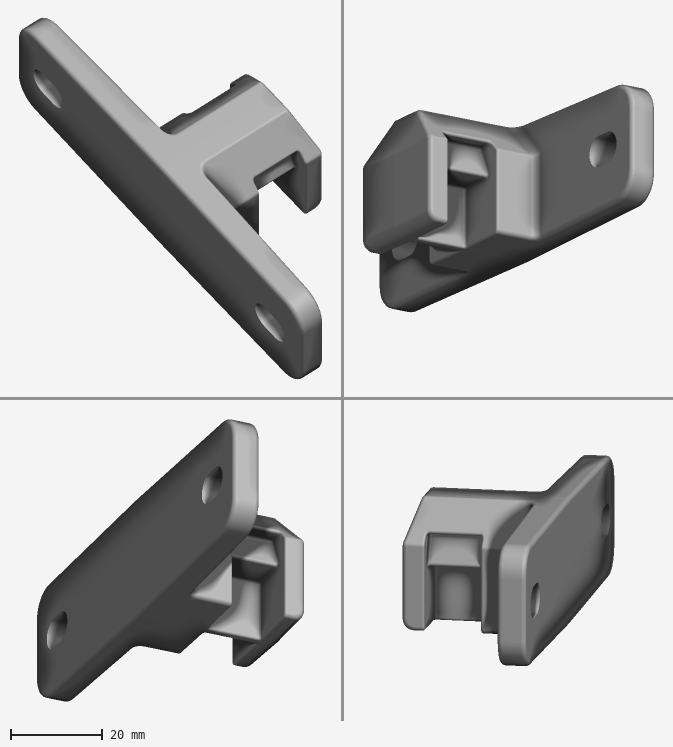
import cadquery as cq
plate_length = 101.6
crown_height = 28.5
outline_drop = 0.8
plate_thickness = 7.2
back_drop = 0.86
corner_radius = 6.4

slot_length = 10.6
slot_width = 7.1
slot_spacing = 79.5

boss_width = 27.4
boss_reach = 35.1
boss_back_drop = 0.25
boss_top_width = 9.5
shoulder_height = 5.3
nose_reach = 32.0
heel_radius = 2.5

pocket_front = 17.3
pocket_back = 29.9
pocket_ceiling = 7.2
web_thickness = 2.0
lip_height = -0.3
lip_offset = 10.3
ramp_run_per_rise = 0.45

edge_radius = 1.0
root_radius = 1.7
mouth_radius = 0.5
pocket_corner_radius = 0.6

half_length = plate_length / 2
half_height = crown_height / 2
half_boss = boss_width / 2
half_boss_top = boss_top_width / 2
half_web = web_thickness / 2
boss_side_reach = boss_reach - boss_back_drop
root_end = half_boss + root_radius
tolerance = 0.1


def crown_at(x):
    """Half height of the crowned outline at a distance x from the middle."""
    return half_height - outline_drop * x / half_length


def half_plate():
    outline = (
        cq.Workplane("XZ")
        .polyline([
            (0, half_height),
            (-half_length, crown_at(half_length)),
            (-half_length, -crown_at(half_length)),
            (0, -half_height),
        ])
        .close()
        .extrude(-plate_thickness)
        .edges("|Y and <X")
        .fillet(corner_radius)
    )
    plan = (
        cq.Workplane("XY")
        .polyline([
            (0, 0),
            (0, plate_thickness),
            (-half_length, plate_thickness - back_drop),
            (-half_length, 0),
        ])
        .close()
        .extrude(half_height, both=True)
    )
    return outline.intersect(plan)


def half_boss_body():
    across = (
        cq.Workplane("XZ")
        .polyline([
            (0, half_height),
            (-half_boss_top, crown_at(half_boss_top)),
            (-half_boss, shoulder_height),
            (-half_boss, -crown_at(half_boss)),
            (0, -half_height),
        ])
        .close()
        .extrude(-boss_reach)
    )
    plan = (
        cq.Workplane("XY")
        .polyline([
            (0, 0),
            (0, boss_reach),
            (-half_boss, boss_side_reach),
            (-half_boss, 0),
        ])
        .close()
        .extrude(half_height, both=True)
    )
    nose_run_per_rise = (boss_side_reach - nose_reach) / (half_height - shoulder_height)
    nose_foot = nose_reach + nose_run_per_rise * crown_height
    side = (
        cq.Workplane("YZ")
        .polyline([
            (0, half_height),
            (nose_reach, half_height),
            (nose_foot, -half_height),
            (0, -half_height),
        ])
        .close()
        .extrude(-half_boss)
    )
    heel = cq.selectors.NearestToPointSelector((-half_boss / 2, boss_reach, -half_height))
    return across.intersect(plan).intersect(side).edges(heel).fillet(heel_radius)


def is_root(edge):
    """Edges where the side and shoulder of the boss meet the back of the plate."""
    center = edge.Center()
    on_plate_back = plate_thickness - back_drop < center.y < plate_thickness + tolerance
    return on_plate_back and half_boss_top < -center.x < half_boss + tolerance


def is_nose_crease(edge):
    """Edge between the upright back of the boss and its sloping nose."""
    center = edge.Center()
    return center.y > boss_side_reach and abs(center.z - shoulder_height) < 2 * edge_radius


def is_shoulder(edge):
    """Long edge between the side of the boss and its sloping shoulder."""
    center = edge.Center()
    return abs(center.z - shoulder_height) < tolerance and abs(center.x + half_boss) < tolerance


def is_rim(edge):
    """Outer edges of the plate and the boss, apart from those softened before."""
    center = edge.Center()
    if center.x > -tolerance:
        return False
    on_front = center.y < tolerance
    on_plate_back = center.x < -root_end - tolerance and center.y > plate_thickness - back_drop - tolerance
    on_top_or_bottom = abs(center.z) > crown_at(half_length) - tolerance and center.y > plate_thickness
    on_boss_back = center.y > nose_reach
    return on_front or on_plate_back or on_top_or_bottom or on_boss_back


def slot():
    return (
        cq.Workplane("XZ", origin=(-slot_spacing / 2, 0, 0))
        .slot2D(slot_length, slot_width)
        .extrude(-plate_thickness)
    )


def snap_pocket():
    """Space with an undercut below a lip; above the lip a ramp leans inwards up to the ceiling."""
    ramp_top_offset = lip_offset - ramp_run_per_rise * (pocket_ceiling - lip_height)
    outside = -boss_width
    below = -crown_height

    def is_pocket_corner(edge):
        center = edge.Center()
        return center.x > outside + tolerance and center.z > below + tolerance

    return (
        cq.Workplane("XZ", origin=(0, pocket_front, 0))
        .polyline([
            (outside, pocket_ceiling),
            (-ramp_top_offset, pocket_ceiling),
            (-lip_offset, lip_height),
            (-half_web, lip_height),
            (-half_web, below),
            (outside, below),
        ])
        .close()
        .extrude(pocket_front - pocket_back)
        .edges()
        .filter(is_pocket_corner)
        .fillet(pocket_corner_radius)
    )


def is_pocket_mouth(edge):
    """Edges where the pocket opens through the shoulder, the side and the bottom of the boss."""
    center = edge.Center()
    within_pocket = pocket_front - tolerance < center.y < pocket_back + tolerance
    on_shoulder_or_side = center.x < -lip_offset - mouth_radius
    on_bottom = center.z < edge_radius - half_height and center.x < -tolerance
    return within_pocket and (on_shoulder_or_side or on_bottom)


half = half_plate().union(half_boss_body())
half = half.edges().filter(is_root).fillet(root_radius)
half = half.edges().filter(is_nose_crease).fillet(edge_radius)
half = half.edges().filter(is_shoulder).fillet(edge_radius)
half = half.edges().filter(is_rim).fillet(edge_radius)

half = half.cut(slot()).cut(snap_pocket())
half = half.edges().filter(is_pocket_mouth).fillet(mouth_radius)

result = half.union(half.mirror("YZ"))